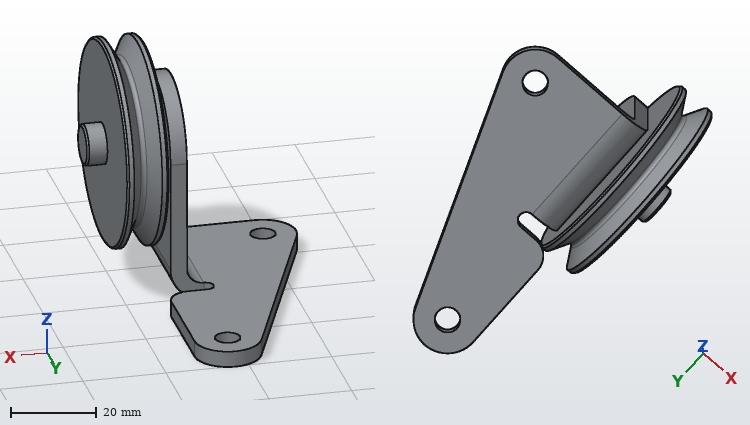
import cadquery as cq
import math

overall_x = 53.5
overall_y = 81.0
overall_z = 60.0

thickness = 4.0
bend_inner_radius = thickness
bend_outer_radius = bend_inner_radius + thickness
flange_width = 32.0
flange_outer_x = 36.05
flange_inner_x = flange_outer_x - thickness
bend_start_x = flange_outer_x - bend_outer_radius

axle_y = flange_width / 2
axle_z = 35.0
pulley_radius = overall_z - axle_z
pulley_width = 10.05
pulley_chamfer = 0.5
groove_depth = 5.0
groove_half_angle = math.radians(30)
groove_root_radius = 0.8
spacer_radius = 6.0
spacer_length = 2.5
axle_diameter = 10.0
stub_radius = 3.0
stub_height = 0.6
stub_chamfer = 0.5
axle_chamfer = 0.5
pulley_start_x = flange_outer_x + spacer_length
pulley_end_x = pulley_start_x + pulley_width

corner_radius = 8.0
mount_hole_diameter = 6.0
plate_top_y = overall_y + axle_y - pulley_radius
near_hole = (corner_radius, corner_radius)
far_hole = (30.0, plate_top_y - corner_radius)
plate_right_x = far_hole[0] + corner_radius
tab_corner_radius = 5.0
slot_width = 4.0
slot_radius = slot_width / 2
slot_top_y = flange_width + slot_width


def point_on_circle(center, radius, angle):
    """Point at an angle (radians, counterclockwise from +X) on a circle."""
    return (center[0] + radius * math.cos(angle), center[1] + radius * math.sin(angle))


def make_base_plate():
    slant = math.atan2(far_hole[1] - near_hole[1], far_hole[0] - near_hole[0])
    slant_normal = slant + math.pi / 2
    tab_corner_center = (plate_right_x - tab_corner_radius, slot_top_y + tab_corner_radius)
    outline = (
        cq.Workplane("XY")
        .moveTo(near_hole[0], 0)
        .lineTo(bend_start_x, 0)
        .lineTo(bend_start_x, flange_width)
        .threePointArc(
            (bend_start_x - slot_radius, flange_width + slot_radius),
            (bend_start_x, slot_top_y),
        )
        .lineTo(tab_corner_center[0], slot_top_y)
        .threePointArc(
            point_on_circle(tab_corner_center, tab_corner_radius, -math.pi / 4),
            (plate_right_x, tab_corner_center[1]),
        )
        .lineTo(plate_right_x, far_hole[1])
        .threePointArc(
            point_on_circle(far_hole, corner_radius, slant_normal / 2),
            point_on_circle(far_hole, corner_radius, slant_normal),
        )
        .lineTo(*point_on_circle(near_hole, corner_radius, slant_normal))
        .threePointArc(
            point_on_circle(near_hole, corner_radius, (slant_normal + 3 * math.pi / 2) / 2),
            (near_hole[0], 0),
        )
        .close()
    )
    plate = outline.extrude(thickness)
    holes = (
        cq.Workplane("XY")
        .pushPoints([near_hole, far_hole])
        .circle(mount_hole_diameter / 2)
        .extrude(thickness)
    )
    return plate.cut(holes)


def make_bend():
    center = (bend_start_x, bend_outer_radius)
    return (
        cq.Workplane("XZ")
        .moveTo(bend_start_x, 0)
        .threePointArc(
            point_on_circle(center, bend_outer_radius, -math.pi / 4),
            (flange_outer_x, bend_outer_radius),
        )
        .lineTo(flange_inner_x, bend_outer_radius)
        .threePointArc(
            point_on_circle(center, bend_inner_radius, -math.pi / 4),
            (bend_start_x, thickness),
        )
        .close()
        .extrude(-flange_width)
    )


def make_flange():
    return (
        cq.Workplane("YZ", origin=(flange_inner_x, 0, 0))
        .moveTo(0, bend_outer_radius)
        .lineTo(flange_width, bend_outer_radius)
        .lineTo(flange_width, axle_z)
        .threePointArc((axle_y, axle_z + flange_width / 2), (0, axle_z))
        .close()
        .extrude(thickness)
    )


def axle_cylinder(start_x, end_x, radius):
    """Cylinder on the axle line between two X positions."""
    return (
        cq.Workplane("YZ", origin=(start_x, axle_y, axle_z))
        .circle(radius)
        .extrude(end_x - start_x)
    )


def make_axle():
    stub = axle_cylinder(flange_inner_x - stub_height, flange_outer_x, stub_radius)
    stub = stub.faces("<X").chamfer(stub_chamfer)
    spacer = axle_cylinder(flange_outer_x, pulley_start_x, spacer_radius)
    shaft = axle_cylinder(pulley_start_x, overall_x, axle_diameter / 2)
    shaft = shaft.faces(">X").chamfer(axle_chamfer)
    return stub.union(spacer).union(shaft)


def make_pulley():
    root_radius = pulley_radius - groove_depth
    root_arc_center = root_radius + groove_root_radius
    tangent_offset = groove_root_radius * math.cos(groove_half_angle)
    tangent_radius = root_arc_center - groove_root_radius * math.sin(groove_half_angle)
    mouth_offset = tangent_offset + (pulley_radius - tangent_radius) * math.tan(groove_half_angle)
    middle_x = pulley_width / 2
    return (
        cq.Workplane("XY", origin=(pulley_start_x, axle_y, axle_z))
        .lineTo(0, pulley_radius - pulley_chamfer)
        .lineTo(pulley_chamfer, pulley_radius)
        .lineTo(middle_x - mouth_offset, pulley_radius)
        .lineTo(middle_x - tangent_offset, tangent_radius)
        .threePointArc((middle_x, root_radius), (middle_x + tangent_offset, tangent_radius))
        .lineTo(middle_x + mouth_offset, pulley_radius)
        .lineTo(pulley_width - pulley_chamfer, pulley_radius)
        .lineTo(pulley_width, pulley_radius - pulley_chamfer)
        .lineTo(pulley_width, 0)
        .close()
        .revolve(360, (0, 0, 0), (1, 0, 0))
    )


bracket = make_base_plate().union(make_bend()).union(make_flange())
result = bracket.union(make_axle()).union(make_pulley())